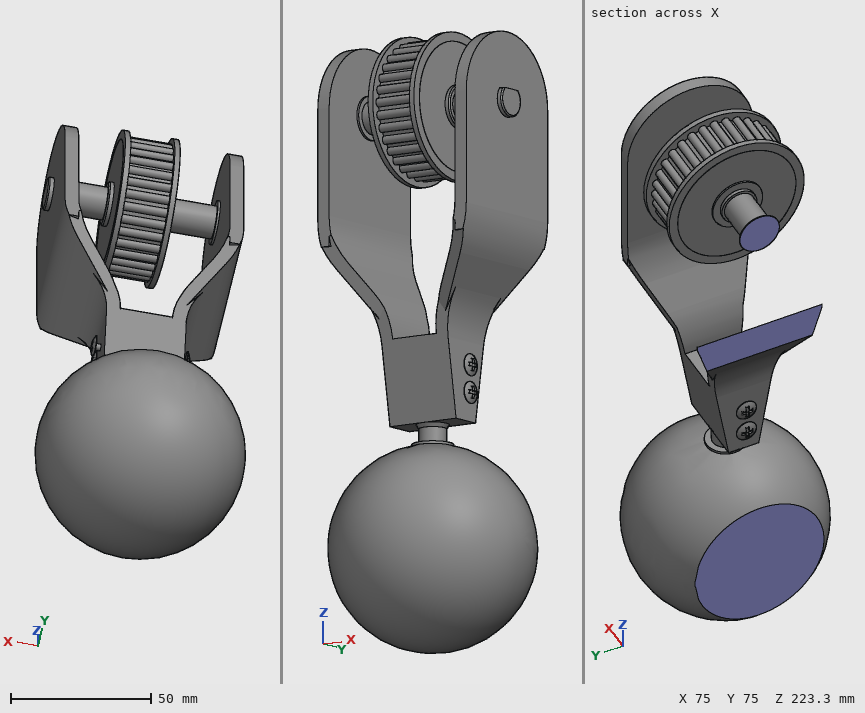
import cadquery as cq
import math

BALL_DIA = 75.0
BALL_COLLAR_DIA = 15.0
STEM_DIA = 10.0
STEM_RING_DIA = 12.0
STEM_RING_HEIGHT = 1.5
BALL_COLLAR_RISE = 0.2
BALL_COLLAR_TOP = BALL_DIA / 2 + BALL_COLLAR_RISE

BLOCK_BOTTOM = 44.8
BLOCK_HEIGHT = 30.5
STRAP_THICKNESS = 5.0
FOOT_OUTER_X = 14.5
CHEEK_OUTER_X = 32.5
FOOT_HEIGHT = 38.0
SLOPE_HEIGHT = 26.0
CHEEK_HEIGHT = 50.0
FOOT_BOTTOM_WIDTH = 12.0
FOOT_TOP_WIDTH = 25.0
CHEEK_WIDTH = 50.0
BEND_RADIUS = 30.0

FOOT_INNER_X = FOOT_OUTER_X - STRAP_THICKNESS
CHEEK_INNER_X = CHEEK_OUTER_X - STRAP_THICKNESS
LOWER_BEND_Z = BLOCK_BOTTOM + FOOT_HEIGHT
UPPER_BEND_Z = LOWER_BEND_Z + SLOPE_HEIGHT
AXLE_Z = UPPER_BEND_Z + CHEEK_HEIGHT

BEND_ANGLE = math.atan((CHEEK_OUTER_X - FOOT_OUTER_X) / SLOPE_HEIGHT)
BEND_TANGENT = BEND_RADIUS * math.tan(BEND_ANGLE / 2)
INNER_BEND_RISE = STRAP_THICKNESS * math.tan(BEND_ANGLE / 2)
FOOT_INNER_BEND = (FOOT_INNER_X, LOWER_BEND_Z + INNER_BEND_RISE)
FOOT_OUTER_BEND = (FOOT_OUTER_X, LOWER_BEND_Z)
CHEEK_INNER_BEND = (CHEEK_INNER_X, UPPER_BEND_Z + INNER_BEND_RISE)
CHEEK_OUTER_BEND = (CHEEK_OUTER_X, UPPER_BEND_Z)

AXLE_DIA = 12.0
AXLE_LENGTH = 69.0
AXLE_CHAMFER = 0.5
AXLE_FLAT_OFFSET = 4.0
WASHER_DIA = 16.0
WASHER_THICKNESS = 0.8

PULLEY_CENTER_X = 1.0
TOOTH_FACE_WIDTH = 16.0
FLANGE_DIA = 54.0
FLANGE_THICKNESS = 2.0
TOOTH_COUNT = 32
TOOTH_TIP_RADIUS = 25.0
CORE_DIA = 47.3
CORE_STEP = 0.1
TOOTH_ROOT_RADIUS = 23.4
TOOTH_BASE_WIDTH = 3.2
LEFT_STEP_DIA = 20.0
LEFT_STEP_LENGTH = 0.8
LEFT_HUB_DIA = 14.0
LEFT_HUB_LENGTH = 2.1
RIGHT_HUB_DIA = 16.0
RIGHT_HUB_LENGTH = 2.0
RIGHT_HUB_CHAMFER = 0.5

SCREWS_PER_SIDE = 2
SCREW_FIRST_HEIGHT = 10.0
SCREW_SPACING = 10.0
SCREW_SHANK_DIA = 2.5
SCREW_HEAD_GAP = 2.0
SCREW_HEAD_DIA = 8.0
SCREW_HEAD_HEIGHT = 1.4
SCREW_RIM = 0.2
RECESS_SPAN = 4.4
RECESS_ARM = 1.3
RECESS_DEPTH = 1.0


def cylinder_x(diameter, x_start, x_end, z=AXLE_Z):
    """Cylinder along X between two X positions."""
    plane = cq.Workplane("YZ", origin=(x_start, 0, z))
    return plane.circle(diameter / 2).extrude(x_end - x_start)


def make_handle():
    ball = cq.Workplane("YZ").sphere(BALL_DIA / 2)
    collar = cq.Workplane("XY").circle(BALL_COLLAR_DIA / 2).extrude(BALL_COLLAR_TOP)
    stem = cq.Workplane("XY").circle(STEM_DIA / 2).extrude(BLOCK_BOTTOM)
    ring = (
        cq.Workplane("XY", origin=(0, 0, BLOCK_BOTTOM))
        .circle(STEM_RING_DIA / 2)
        .workplane(offset=-STEM_RING_HEIGHT)
        .circle(STEM_DIA / 2)
        .loft(ruled=True)
    )
    return ball.union(collar).union(stem).union(ring)


def tapered_foot(x_start, x_end, height):
    """Trapezoidal prism on the foot taper, standing on the block bottom."""
    widening = (FOOT_TOP_WIDTH - FOOT_BOTTOM_WIDTH) * height / FOOT_HEIGHT
    half_bottom = FOOT_BOTTOM_WIDTH / 2
    half_top = half_bottom + widening / 2
    return (
        cq.Workplane("YZ", origin=(x_start, 0, BLOCK_BOTTOM))
        .polyline([
            (-half_bottom, 0),
            (half_bottom, 0),
            (half_top, height),
            (-half_top, height),
        ])
        .close()
        .extrude(x_end - x_start)
    )


def bent_sheet(rounded_corners):
    """Full-width +X sheet in its bent side shape, with only the given corners rounded."""
    top_z = AXLE_Z + CHEEK_WIDTH / 2
    sheet = (
        cq.Workplane("XZ")
        .polyline([
            (FOOT_INNER_X, BLOCK_BOTTOM),
            (FOOT_OUTER_X, BLOCK_BOTTOM),
            FOOT_OUTER_BEND,
            CHEEK_OUTER_BEND,
            (CHEEK_OUTER_X, top_z),
            (CHEEK_INNER_X, top_z),
            CHEEK_INNER_BEND,
            FOOT_INNER_BEND,
        ])
        .close()
        .extrude(CHEEK_WIDTH / 2, both=True)
    )
    for x, z in rounded_corners:
        corner = cq.selectors.NearestToPointSelector((x, 0, z))
        sheet = sheet.edges("|Y").edges(corner).fillet(BEND_RADIUS)
    return sheet


def slope_outline():
    """Taper of the sloped middle, square to its outer face, ending at the cheek width."""
    half_foot = FOOT_TOP_WIDTH / 2
    half_cheek = CHEEK_WIDTH / 2
    length = math.hypot(CHEEK_OUTER_X - FOOT_OUTER_X, SLOPE_HEIGHT)
    end = length + 2 * BEND_TANGENT
    inward = (-math.cos(BEND_ANGLE), 0, math.sin(BEND_ANGLE))
    slope_plane = cq.Plane(origin=(FOOT_OUTER_X, 0, LOWER_BEND_Z), xDir=(0, 1, 0), normal=inward)
    return (
        cq.Workplane(slope_plane)
        .polyline([
            (-half_foot, 0),
            (half_foot, 0),
            (half_cheek, -length),
            (half_cheek, -end),
            (-half_cheek, -end),
            (-half_cheek, -length),
        ])
        .close()
        .extrude(CHEEK_OUTER_X)
    )


def cheek_outline():
    """Round-topped flat cheek above the upper bend."""
    half_width = CHEEK_WIDTH / 2
    return (
        cq.Workplane("YZ", origin=(CHEEK_INNER_X, 0, UPPER_BEND_Z))
        .moveTo(-half_width, 0)
        .lineTo(half_width, 0)
        .lineTo(half_width, CHEEK_HEIGHT)
        .threePointArc((0, CHEEK_HEIGHT + half_width), (-half_width, CHEEK_HEIGHT))
        .close()
        .extrude(STRAP_THICKNESS)
    )


def make_strap():
    """Strap on the +X side; the outer fillet at its foot keeps the narrow foot taper."""
    upper_corners = [FOOT_INNER_BEND, CHEEK_INNER_BEND, CHEEK_OUTER_BEND]
    upper_sheet = bent_sheet(upper_corners)
    full_sheet = bent_sheet(upper_corners + [FOOT_OUTER_BEND])
    cheek = upper_sheet.intersect(cheek_outline())
    slope = upper_sheet.intersect(slope_outline())
    foot_outline = tapered_foot(0, CHEEK_OUTER_X, FOOT_HEIGHT + BEND_TANGENT)
    foot = full_sheet.intersect(foot_outline)
    return foot.union(slope).union(cheek)


def make_fork():
    strap = make_strap()
    block = tapered_foot(-FOOT_OUTER_X, FOOT_OUTER_X, BLOCK_HEIGHT)
    return block.union(strap).union(strap.mirror("YZ"))


def make_axle():
    half_length = AXLE_LENGTH / 2
    axle = cylinder_x(AXLE_DIA, -half_length, half_length).faces("<X or >X").chamfer(AXLE_CHAMFER)
    end_length = half_length - CHEEK_OUTER_X
    for side in (-1, 1):
        flat_cut = cq.Workplane("XY").box(
            end_length, AXLE_DIA, AXLE_DIA, centered=(True, True, False)
        )
        end_center_x = side * (CHEEK_OUTER_X + end_length / 2)
        axle = axle.cut(flat_cut.translate((end_center_x, 0, AXLE_Z + AXLE_FLAT_OFFSET)))
        washer = cylinder_x(
            WASHER_DIA, side * CHEEK_INNER_X, side * (CHEEK_INNER_X - WASHER_THICKNESS)
        )
        axle = axle.union(washer)
    return axle


def make_tooth_ring():
    """Toothed drum with rounded teeth, the first one facing -Y."""
    pitch_angle = 2 * math.pi / TOOTH_COUNT
    half_base_angle = math.asin(TOOTH_BASE_WIDTH / 2 / TOOTH_ROOT_RADIUS)

    def point(radius, angle):
        return (-radius * math.cos(angle), radius * math.sin(angle))

    outline = cq.Workplane("YZ", origin=(PULLEY_CENTER_X - TOOTH_FACE_WIDTH / 2, 0, AXLE_Z))
    outline = outline.moveTo(*point(TOOTH_ROOT_RADIUS, -half_base_angle))
    for index in range(TOOTH_COUNT):
        angle = index * pitch_angle
        tooth_end = point(TOOTH_ROOT_RADIUS, angle + half_base_angle)
        outline = outline.threePointArc(point(TOOTH_TIP_RADIUS, angle), tooth_end)
        if index < TOOTH_COUNT - 1:
            next_start = angle + pitch_angle - half_base_angle
            outline = outline.lineTo(*point(TOOTH_ROOT_RADIUS, next_start))
    return outline.close().extrude(TOOTH_FACE_WIDTH)


def make_pulley():
    pulley = make_tooth_ring()
    half_face = TOOTH_FACE_WIDTH / 2
    half_width = half_face + FLANGE_THICKNESS
    for side in (-1, 1):
        inner_x = PULLEY_CENTER_X + side * half_face
        outer_x = PULLEY_CENTER_X + side * half_width
        flange = cylinder_x(FLANGE_DIA, inner_x, outer_x)
        core = cylinder_x(CORE_DIA, inner_x, outer_x + side * CORE_STEP)
        pulley = pulley.union(flange).union(core)

    left_x = PULLEY_CENTER_X - half_width
    step_x = left_x - LEFT_STEP_LENGTH
    step = cylinder_x(LEFT_STEP_DIA, left_x, step_x)
    hub = cylinder_x(LEFT_HUB_DIA, left_x, left_x - LEFT_HUB_LENGTH)

    right_x = PULLEY_CENTER_X + half_width
    right_hub = cylinder_x(RIGHT_HUB_DIA, right_x, right_x + RIGHT_HUB_LENGTH)
    right_hub = right_hub.faces(">X").chamfer(RIGHT_HUB_CHAMFER)
    return pulley.union(step).union(hub).union(right_hub)


def make_screw():
    """Screw on the +X side at Z = 0: bare shank and domed head with a cross recess."""
    head_x = FOOT_OUTER_X + SCREW_HEAD_GAP
    top_x = head_x + SCREW_HEAD_HEIGHT
    shank = cylinder_x(SCREW_SHANK_DIA, FOOT_INNER_X, head_x, z=0)
    rim_radius = SCREW_HEAD_DIA / 2
    dome_base_x = head_x + SCREW_RIM
    dome_height = top_x - dome_base_x
    dome_radius = (rim_radius ** 2 + dome_height ** 2) / (2 * dome_height)
    half_angle = math.asin(rim_radius / dome_radius) / 2
    dome_middle = (
        top_x - dome_radius * (1 - math.cos(half_angle)),
        dome_radius * math.sin(half_angle),
    )
    head = (
        cq.Workplane("XY")
        .moveTo(head_x, 0)
        .lineTo(head_x, rim_radius)
        .lineTo(dome_base_x, rim_radius)
        .threePointArc(dome_middle, (top_x, 0))
        .close()
        .revolve(360, (0, 0, 0), (1, 0, 0))
    )
    recess_floor = cq.Workplane("YZ", origin=(top_x - RECESS_DEPTH, 0, 0))
    across_arm = recess_floor.rect(RECESS_SPAN, RECESS_ARM).extrude(RECESS_DEPTH)
    upright_arm = recess_floor.rect(RECESS_ARM, RECESS_SPAN).extrude(RECESS_DEPTH)
    return shank.union(head).cut(across_arm).cut(upright_arm)


def add_screws(body):
    screw = make_screw()
    for index in range(SCREWS_PER_SIDE):
        z = BLOCK_BOTTOM + SCREW_FIRST_HEIGHT + index * SCREW_SPACING
        placed = screw.translate((0, 0, z))
        body = body.union(placed).union(placed.mirror("YZ"))
    return body


fork = add_screws(make_fork())
result = make_handle().union(fork).union(make_axle()).union(make_pulley())